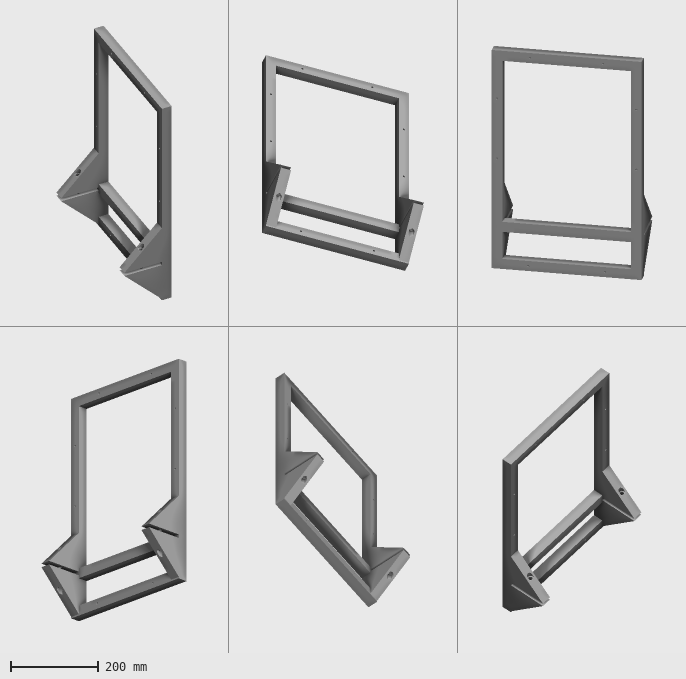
import cadquery as cq

frame_width = 350.0
frame_height = 540
bar = 25.0
total_depth = 120.5
middle_bar_base = 92.0

bracket_size = total_depth - bar
bracket_base = 4.0
slot_height = 8.5
slot_floor = bracket_base + bracket_size
slot_roof = slot_floor + slot_height
bracket_top = slot_roof + bracket_size

bolt_hole_diameter = 9.0
head_diameter = 15.0
nut_across_corners = 15.0
head_seat_wall = 42.5
nut_seat_wall = 38.0
head_seat = slot_roof + head_seat_wall
nut_seat = slot_floor - nut_seat_wall
bolt_y = bracket_size / 2
upright_x = (frame_width - bar) / 2

mount_diameter = 5.0
top_hole_x = 85.5
bottom_hole_x = 89.5
side_hole_heights = (272.0, 420.5)


def make_bar(width, height, base, center_x=0):
    """Bar of the frame, resting at the given height."""
    return (
        cq.Workplane("XY", origin=(center_x, bracket_size + bar / 2, base))
        .box(width, bar, height, centered=(True, True, False))
    )


def make_bracket(center_x, slope_z, slot_z):
    """Right-angled triangle in front of an upright, with its tip at the slot."""
    return (
        cq.Workplane("YZ", origin=(center_x, 0, 0))
        .moveTo(bracket_size, slope_z)
        .lineTo(bracket_size, slot_z)
        .lineTo(0, slot_z)
        .close()
        .extrude(bar / 2, both=True)
    )


def make_bolt_cut(center_x):
    """Bolt hole with a round head recess above and a hexagonal nut recess below."""
    hole = (
        cq.Workplane("XY", origin=(center_x, bolt_y, 0))
        .circle(bolt_hole_diameter / 2)
        .extrude(bracket_top)
    )
    head_recess = (
        cq.Workplane("XY", origin=(center_x, bolt_y, head_seat))
        .circle(head_diameter / 2)
        .extrude(bracket_top - head_seat)
    )
    nut_recess = (
        cq.Workplane("XY", origin=(center_x, bolt_y, 0))
        .transformed(rotate=(0, 0, 90))
        .polygon(6, nut_across_corners)
        .extrude(nut_seat)
    )
    return hole.union(head_recess).union(nut_recess)


result = make_bar(frame_width, bar, 0)
for base in (middle_bar_base, frame_height - bar):
    result = result.union(make_bar(frame_width, bar, base))

for center_x in (-upright_x, upright_x):
    result = result.union(make_bar(bar, frame_height, 0, center_x))
    result = result.union(make_bracket(center_x, bracket_base, slot_floor))
    result = result.union(make_bracket(center_x, bracket_top, slot_roof))
    result = result.cut(make_bolt_cut(center_x))

mount_points = []
for side in (-1, 1):
    mount_points.append((side * top_hole_x, frame_height - bar / 2))
    mount_points.append((side * bottom_hole_x, bar / 2))
    for height in side_hole_heights:
        mount_points.append((side * upright_x, height))

mount_holes = (
    cq.Workplane("XZ", origin=(0, total_depth, 0))
    .pushPoints(mount_points)
    .circle(mount_diameter / 2)
    .extrude(bar)
)
result = result.cut(mount_holes)